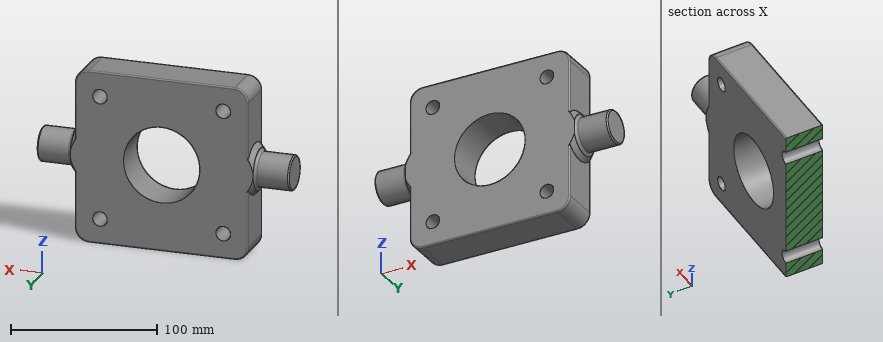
import cadquery as cq

plate_side = 125.0
plate_thickness = 29.0
corner_radius = 10.0
edge_fillet = 1.0
bore_diameter = 55.0
bolt_hole_diameter = 10.5
bolt_hole_spacing = 89.0

trunnion_axis_y = -0.5
overall_length = 182.0
pin_diameter = 25.0
pin_length = 25.0
pin_tip_chamfer = 1.0
pin_root_fillet = 2.0

collar_face_diameter = 30.0

plate_half = plate_side / 2
pin_radius = pin_diameter / 2
pin_tip_x = overall_length / 2
collar_face_x = pin_tip_x - pin_length
collar_face_radius = collar_face_diameter / 2
collar_base_x = plate_half - 2 * edge_fillet
collar_base_radius = collar_face_radius + collar_face_x - collar_base_x


def make_plate():
    plate = (
        cq.Workplane("XZ")
        .rect(plate_side, plate_side)
        .extrude(plate_thickness / 2, both=True)
        .edges("|Y")
        .fillet(corner_radius)
    )
    return plate.faces("<Y or >Y").edges().fillet(edge_fillet)


def make_trunnion():
    """Pin and collar on the +X side, trimmed flush with the plate faces."""
    profile = (
        cq.Workplane("XZ", origin=(0, trunnion_axis_y, 0))
        .moveTo(collar_base_x, 0)
        .lineTo(collar_base_x, collar_base_radius)
        .lineTo(collar_face_x, collar_face_radius)
        .lineTo(collar_face_x, pin_radius + pin_root_fillet)
        .radiusArc((collar_face_x + pin_root_fillet, pin_radius), -pin_root_fillet)
        .lineTo(pin_tip_x - pin_tip_chamfer, pin_radius)
        .lineTo(pin_tip_x, pin_radius - pin_tip_chamfer)
        .lineTo(pin_tip_x, 0)
        .close()
    )
    trunnion = profile.revolve(360, (0, 0, 0), (1, 0, 0))
    slab = cq.Workplane("XY").box(overall_length, plate_thickness, plate_side)
    return trunnion.intersect(slab)


def make_through_holes():
    back_face = cq.Workplane("XZ", origin=(0, plate_thickness / 2, 0))
    bore = back_face.circle(bore_diameter / 2).extrude(plate_thickness)
    bolt_holes = (
        back_face
        .rect(bolt_hole_spacing, bolt_hole_spacing, forConstruction=True)
        .vertices()
        .circle(bolt_hole_diameter / 2)
        .extrude(plate_thickness)
    )
    return bore.union(bolt_holes)


right_trunnion = make_trunnion()
left_trunnion = right_trunnion.mirror("YZ")

result = make_plate().union(right_trunnion).union(left_trunnion).cut(make_through_holes())